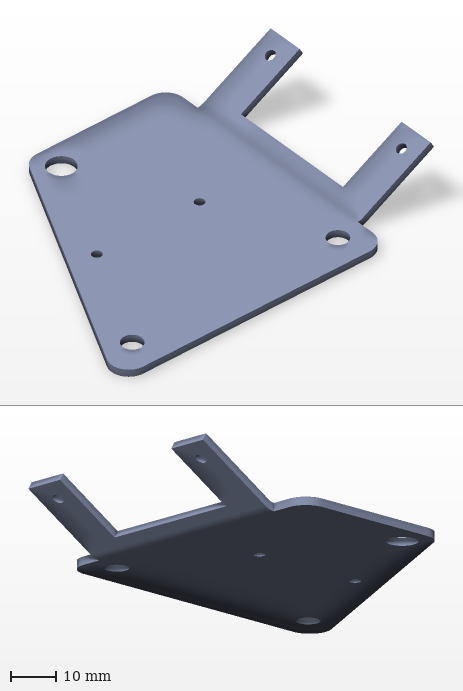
import cadquery as cq
import math

plate_width = 75.1
overall_length = 97.9
thickness = 2.0
corner_radius = 5.0
lower_edge_slope = 0.5

hole_pitch = 29.9
large_hole_x = 6.95
large_hole_y = 38.8
large_hole_diameter = 7.2
mount_hole_diameter = 5.5
small_hole_diameter = 2.6

flange_width = 55.0
flange_length = 22.7
bend_angle = 30
bend_inner_radius = 3.0
leg_width = 10.0
leg_length = 19.7
leg_hole_to_tip = leg_width / 2

cut_depth = 2 * thickness
center_x = plate_width / 2
bend_outer_radius = bend_inner_radius + thickness
bend_radians = math.radians(bend_angle)
flange_reach = bend_outer_radius * math.sin(bend_radians) + flange_length * math.cos(bend_radians)
plate_length = overall_length - flange_reach


def make_plate():
    """Four-sided plate with a slanted lower edge and rounded corners."""
    slope_stretch = math.hypot(1, lower_edge_slope)
    edge_y_at_right = corner_radius * (1 - lower_edge_slope - slope_stretch)
    edge_y_at_left = edge_y_at_right + lower_edge_slope * plate_width
    return (
        cq.Workplane("XY")
        .moveTo(0, plate_length)
        .lineTo(plate_width, plate_length)
        .lineTo(plate_width, edge_y_at_right)
        .lineTo(0, edge_y_at_left)
        .close()
        .extrude(thickness)
        .edges("|Z")
        .fillet(corner_radius)
    )


def cut_plate_holes(body):
    """Cut the large hole, the mounting holes and the small middle holes."""
    middle_x = large_hole_x + hole_pitch
    right_x = middle_x + hole_pitch
    patterns = [
        (large_hole_diameter, [(large_hole_x, large_hole_y)]),
        (mount_hole_diameter, [(right_x, large_hole_y + side * hole_pitch) for side in (-1, 1)]),
        (small_hole_diameter, [(middle_x, large_hole_y + side * hole_pitch / 2) for side in (-1, 1)]),
    ]
    for diameter, points in patterns:
        holes = cq.Workplane("XY").pushPoints(points).circle(diameter / 2).extrude(thickness)
        body = body.cut(holes)
    return body


def bend_point(radius, angle):
    """Y, Z point on the bend at an angle measured from the plate edge."""
    center_z = thickness + bend_inner_radius
    return (plate_length + radius * math.sin(angle), center_z - radius * math.cos(angle))


def along_flange(point, distance):
    """Move a Y, Z point up the slope of the flange."""
    return (
        point[0] + distance * math.cos(bend_radians),
        point[1] + distance * math.sin(bend_radians),
    )


def make_flange():
    """Bent strip with the gap between the two legs and a hole in each leg."""
    outer_end = bend_point(bend_outer_radius, bend_radians)
    inner_end = bend_point(bend_inner_radius, bend_radians)
    strip = (
        cq.Workplane("YZ", origin=(center_x, 0, 0))
        .moveTo(plate_length, 0)
        .threePointArc(bend_point(bend_outer_radius, bend_radians / 2), outer_end)
        .lineTo(*along_flange(outer_end, flange_length))
        .lineTo(*along_flange(inner_end, flange_length))
        .lineTo(*inner_end)
        .threePointArc(bend_point(bend_inner_radius, bend_radians / 2), (plate_length, thickness))
        .close()
        .extrude(flange_width / 2, both=True)
    )

    tip_y, tip_z = along_flange(inner_end, flange_length)
    face = cq.Plane(
        origin=(center_x, tip_y, tip_z),
        xDir=(1, 0, 0),
        normal=(0, -math.sin(bend_radians), math.cos(bend_radians)),
    )
    gap = (
        cq.Workplane(face)
        .center(0, -leg_length / 2)
        .rect(flange_width - 2 * leg_width, leg_length)
        .extrude(cut_depth, both=True)
    )
    leg_x = (flange_width - leg_width) / 2
    holes = (
        cq.Workplane(face)
        .pushPoints([(-leg_x, -leg_hole_to_tip), (leg_x, -leg_hole_to_tip)])
        .circle(small_hole_diameter / 2)
        .extrude(cut_depth, both=True)
    )
    return strip.cut(gap).cut(holes)


result = cut_plate_holes(make_plate()).union(make_flange())